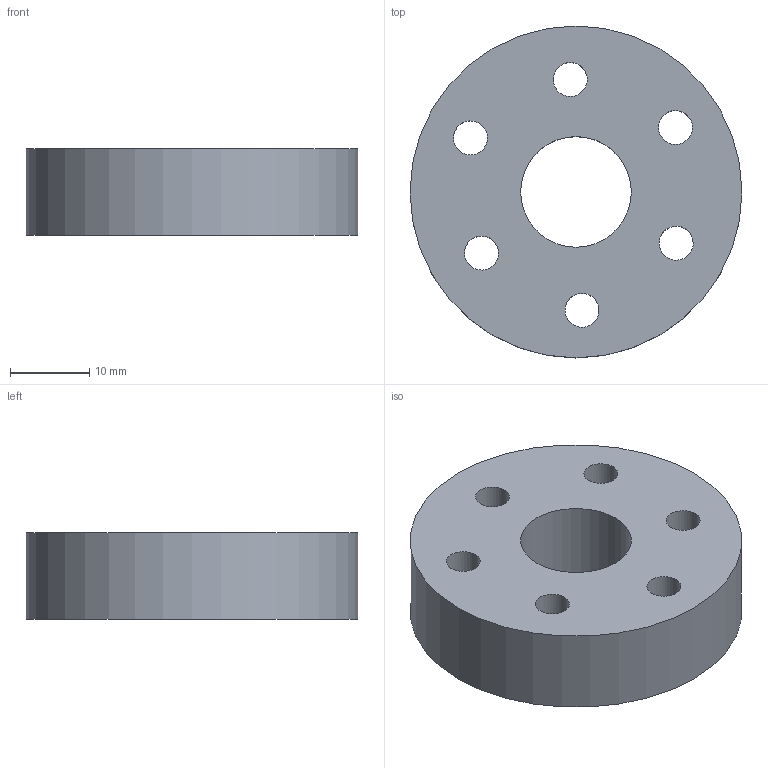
import cadquery as cq

outer_diameter = 42.0
bore_diameter = 14.0
thickness = 11.0

hole_diameter = 4.3
holes_per_set = 3
inner_circle_radius = 14.25
outer_circle_radius = 15.0
outer_set_angle = 32.9
inner_set_angle = outer_set_angle + 180.0 / holes_per_set


def make_ring():
    """Flat ring standing on the XY plane, centred on the Z axis."""
    return (
        cq.Workplane("XY")
        .circle(outer_diameter / 2)
        .circle(bore_diameter / 2)
        .extrude(thickness)
    )


def drill_hole_set(body, circle_radius, start_angle):
    """Drill one evenly spaced set of through holes around the Z axis."""
    return (
        body.faces(">Z")
        .workplane(origin=(0, 0, thickness))
        .polarArray(circle_radius, start_angle, 360, holes_per_set)
        .hole(hole_diameter)
    )


result = make_ring()
result = drill_hole_set(result, inner_circle_radius, inner_set_angle)
result = drill_hole_set(result, outer_circle_radius, outer_set_angle)